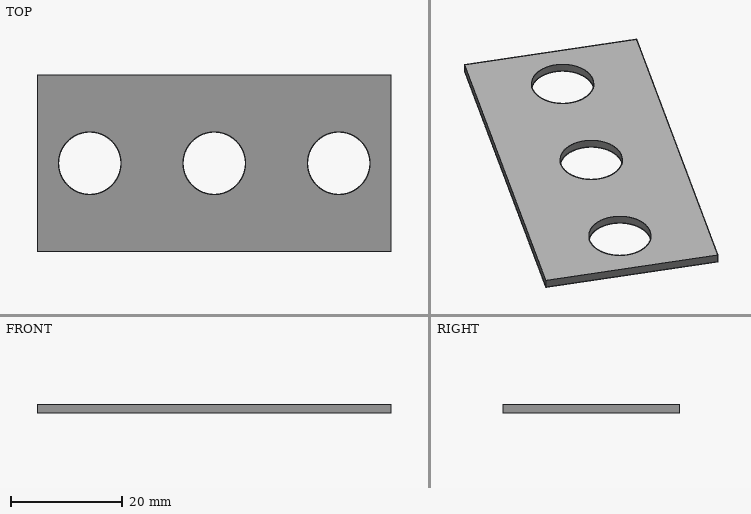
import cadquery as cq

length = 63.5
width = length / 2
thickness = 1.6

hole_diameter = 11.2
hole_spacing = 2 * hole_diameter
hole_count = 3

plate = cq.Workplane("XY").box(length, width, thickness)

result = (
    plate.faces(">Z")
    .workplane()
    .rarray(hole_spacing, 0.65, hole_count, 1)
    .hole(hole_diameter)
)